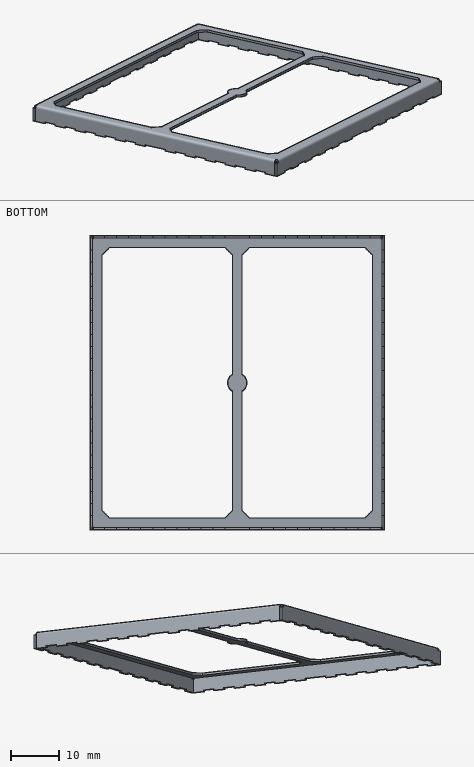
import cadquery as cq

side = 61.0
height = 3.5

sheet = 0.5
bend_radius = 0.6

rim_width = 2.5
bar_width = 2.0
pad_radius = 2.0
window_chamfer = 1.5
window_length = side - 2 * rim_width
window_width = (window_length - bar_width) / 2
window_offset = (bar_width + window_width) / 2

notch_depth = 0.3
notch_pitch = 5.0
notch_width = notch_pitch / 2
center_notch_width = 2 * notch_width
side_notch_count = 5


def corner_blocks(length_x, length_y, block_x, block_y, block_height):
    """Four upright blocks filling the corners of a length_x by length_y rectangle."""
    return (
        cq.Workplane("XY")
        .rect(length_x - block_x, length_y - block_y, forConstruction=True)
        .vertices()
        .rect(block_x, block_y)
        .extrude(block_height)
    )


def make_shell():
    """Square tray, open below, with rounded top edges and relieved corners."""
    block = cq.Workplane("XY").box(side, side, height, centered=(True, True, False))
    rounded = block.faces(">Z").edges().fillet(bend_radius)
    cavity_side = side - 2 * sheet
    cavity = cq.Workplane("XY").box(
        cavity_side, cavity_side, height - sheet, centered=(True, True, False)
    )
    relief = corner_blocks(side, side, bend_radius, bend_radius, height)
    wall_ends = corner_blocks(side, side, sheet, bend_radius, height - bend_radius)
    return rounded.cut(cavity).cut(relief).union(wall_ends)


def make_windows():
    """Two chamfered rectangular openings, leaving the central pad in place."""
    openings = (
        cq.Workplane("XY")
        .pushPoints([(-window_offset, 0), (window_offset, 0)])
        .rect(window_width, window_length)
        .extrude(height)
        .edges("|Z")
        .chamfer(window_chamfer)
    )
    pad = cq.Workplane("XY").circle(pad_radius).extrude(height)
    return openings.cut(pad)


def make_notches():
    """Bars that cut matching notches into opposite walls, along X and along Y."""
    bars = cq.Workplane("XY").rect(center_notch_width, side).extrude(notch_depth)
    for index in range(1, side_notch_count + 1):
        offset = index * notch_pitch + notch_width / 2
        pair = (
            cq.Workplane("XY")
            .pushPoints([(-offset, 0), (offset, 0)])
            .rect(notch_width, side)
            .extrude(notch_depth)
        )
        bars = bars.union(pair)
    return bars.union(bars.rotate((0, 0, 0), (0, 0, 1), 90))


result = make_shell().cut(make_windows()).cut(make_notches())